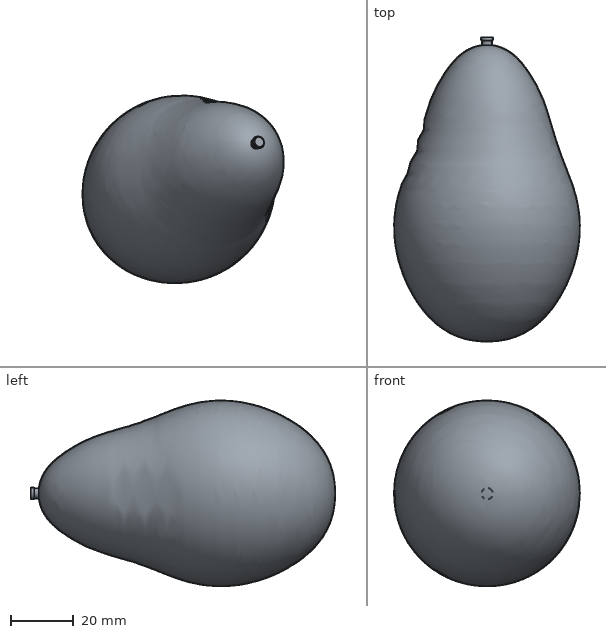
import cadquery as cq

total_length = 96.95
belly_radius = 29.62
belly_y = 36.4

stem_length = 2.4
stem_radius = 1.6
lip_radius = 1.9
lip_length = 1.2
stem_embed = 1.0

body_length = total_length - stem_length

blunt_pole = (0, 0)
blunt_end = [(9.7, 1.7), (17.0, 6.4), (22.8, 13.5), (27.2, 22.8)]
belly = (belly_radius, belly_y)
neck = [(27.7, 48.5), (24.2, 57.8), (21.0, 67.2), (18.1, 76.5), (13.2, 85.9), (6.2, 92.9)]
narrow_pole = (0, body_length)


def make_body():
    """Revolve the pear-shaped skin, which meets the axis squarely at both poles."""
    skin = [*blunt_end, belly, *neck, narrow_pole]
    outward = (1, 0)
    inward = (-1, 0)
    profile = (
        cq.Workplane("XY")
        .moveTo(*blunt_pole)
        .spline(skin, tangents=[outward, inward], scale=False, includeCurrent=True)
        .close()
    )
    return profile.revolve(360, (0, 0), (0, 1))


def make_stem():
    """Revolve the stem, rooted inside the body and ending in a rounded lip."""
    root_y = body_length - stem_embed
    profile = (
        cq.Workplane("XY")
        .moveTo(0, root_y)
        .lineTo(stem_radius, root_y)
        .lineTo(stem_radius, total_length - lip_length)
        .threePointArc((lip_radius, total_length - lip_length / 2), (stem_radius, total_length))
        .lineTo(0, total_length)
        .close()
    )
    return profile.revolve(360, (0, 0), (0, 1))


result = make_body().union(make_stem())